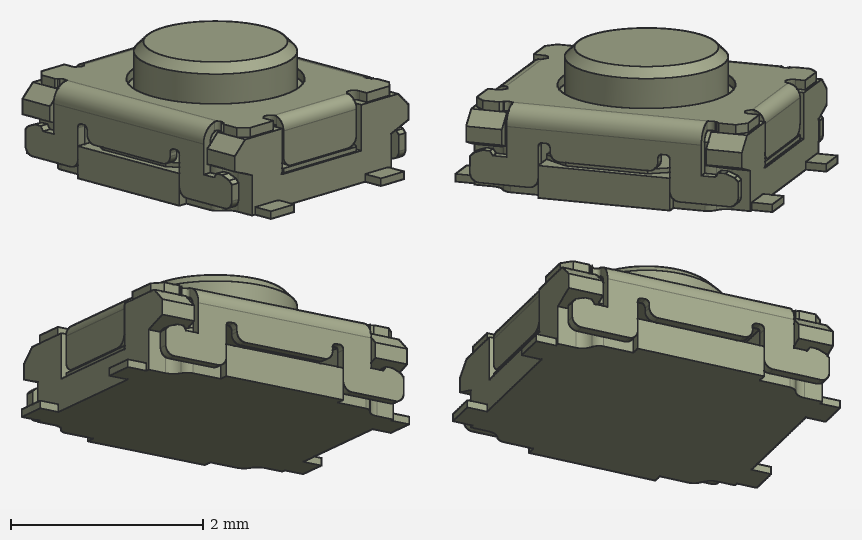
import cadquery as cq


base_length = 3.045
base_width = 2.62
base_top = 0.847
half_length = base_length / 2
half_width = base_width / 2

shoulder_slope_width = 0.158
shoulder_slope_height = 0.147
shoulder_tip = 0.532
shoulder_root = 0.438
lower_wall_y = 1.05
front_wall_y = 1.205
front_recess_half = 1.127
front_recess_chamfer = 0.1

step_start_x = 1.315
step_middle = (1.175, 1.135)
step_end_x = 1.075

hollow_floor = 0.35
hollow_roof = 0.6
hollow_half_x = 0.728
hollow_half_y = 0.6
pad_top = 0.4
pad_half_x = 1.498
pad_half_y = 1.225
pad_end_half = 0.55
pad_front_half = 0.45

end_wall_x = 1.302
end_recess_flare = 0.05
end_wall_rounding = 0.14

overall_length = 3.5
terminal_width = 0.35
terminal_thickness = 0.085
terminal_y = 0.83

button_diameter = 1.7
button_top = 1.35
button_chamfer = 0.1

sheet = 0.1
cover_top = base_top + sheet
plate_half_x = 1.498
plate_half_y = 1.15
plate_corner_chamfer = 0.1
button_hole_diameter = 1.85

flap_half = 1.075
flap_bend = 0.205
flap_relief_width = 0.098
flap_relief_end_y = 1.1
flap_relief_mouth = 0.04

tab_half = 0.55
tab_bend = 0.14
tab_relief_width = 0.155
tab_relief_end_x = 1.312
tab_bottom = 0.41
tab_corner_radius = 0.12
corner_radius = 0.1

tongue_half = 0.595
tongue_bottom = tab_bottom
slot_top = hollow_roof
slot_radius = 0.05
leg_inner_x = hollow_half_x
leg_notch_z = tongue_bottom
foot_bottom = 0.105
foot_outer_x = 1.48
foot_crest = 0.46
foot_crest_outer_x = 1.34
foot_crest_inner_x = 1.26
foot_crest_foot_x = 1.225
foot_chamfer = 0.04


def block(x_size, y_size, z_low, z_high):
    """Box centred on the Z axis, between two heights."""
    return cq.Workplane("XY").workplane(offset=z_low).rect(x_size, y_size).extrude(z_high - z_low)


def both_ends(shape):
    """The shape together with its copy turned half a turn about Z."""
    return shape.union(shape.rotate((0, 0, 0), (0, 0, 1), 180))


def base_shoulder():
    """Upper block with sloped edges and an undercut, recessed behind the cover flaps."""
    shoulder = (
        cq.Workplane("YZ", origin=(-half_length, 0, 0))
        .moveTo(0, shoulder_root)
        .lineTo(lower_wall_y, shoulder_root)
        .lineTo(half_width, shoulder_tip)
        .lineTo(half_width, base_top - shoulder_slope_height)
        .lineTo(half_width - shoulder_slope_width, base_top)
        .lineTo(0, base_top)
        .close()
        .extrude(base_length)
    )
    recess = (
        cq.Workplane("YZ", origin=(-front_recess_half, 0, 0))
        .moveTo(front_wall_y, 0)
        .lineTo(front_wall_y, base_top - front_recess_chamfer)
        .lineTo(front_wall_y - front_recess_chamfer, base_top)
        .lineTo(half_width, base_top)
        .lineTo(half_width, 0)
        .close()
        .extrude(2 * front_recess_half)
    )
    return both_ends(shoulder.cut(recess))


def base_lower_wall():
    """Lower block, with an S-shaped step on each side of every long wall."""
    quarter = (
        cq.Workplane("XY")
        .lineTo(half_length, 0)
        .lineTo(half_length, lower_wall_y)
        .lineTo(step_start_x, lower_wall_y)
        .tangentArcPoint(step_middle, relative=False)
        .tangentArcPoint((step_end_x, front_wall_y), relative=False)
        .lineTo(0, front_wall_y)
        .close()
        .extrude(shoulder_tip)
    )
    return both_ends(quarter.union(quarter.mirror("YZ")))


def floor_pad():
    """Low octagonal pad on the floor of the hollow."""
    half_pad = (
        cq.Workplane("XY")
        .workplane(offset=hollow_floor)
        .lineTo(pad_half_x, 0)
        .lineTo(pad_half_x, pad_end_half)
        .lineTo(pad_front_half, pad_half_y)
        .lineTo(-pad_front_half, pad_half_y)
        .lineTo(-pad_half_x, pad_end_half)
        .lineTo(-pad_half_x, 0)
        .close()
        .extrude(pad_top - hollow_floor)
    )
    return both_ends(half_pad)


def base_hollow():
    """Crossing channels under the button."""
    along_x = block(base_length, 2 * hollow_half_y, hollow_floor, hollow_roof)
    along_y = block(2 * hollow_half_x, base_width, hollow_floor, hollow_roof)
    return along_x.union(along_y)


def end_recess():
    """Recess for the side tab: flared inner corners, rounded into the hollow's roof."""
    flare_x = end_wall_x + end_recess_flare
    flared_half = hollow_half_y + end_recess_flare
    outline = [
        (-half_length, hollow_half_y),
        (-flare_x, hollow_half_y),
        (-end_wall_x, flared_half),
        (-end_wall_x, -flared_half),
        (-flare_x, -hollow_half_y),
        (-half_length, -hollow_half_y),
    ]
    recess = (
        cq.Workplane("XY")
        .workplane(offset=hollow_floor)
        .polyline(outline)
        .close()
        .extrude(base_top - hollow_floor)
    )
    corner = cq.Workplane("XY").box(
        end_wall_rounding, 2 * hollow_half_y, end_wall_rounding, centered=(False, True, False)
    )
    roll = (
        cq.Workplane("XZ", origin=(end_wall_rounding, hollow_half_y, end_wall_rounding))
        .circle(end_wall_rounding)
        .extrude(2 * hollow_half_y)
    )
    rounding = corner.cut(roll).translate((-end_wall_x, 0, hollow_roof))
    return recess.union(rounding)


def terminals():
    """Four flat solder tails, two at each end."""
    tail_length = (overall_length - base_length) / 2
    return (
        cq.Workplane("XY")
        .rarray(base_length + tail_length, 2 * terminal_y, 2, 2)
        .rect(tail_length, terminal_width)
        .extrude(terminal_thickness)
    )


def button():
    """Round push button with a bevelled rim."""
    return (
        cq.Workplane("XY")
        .workplane(offset=base_top)
        .circle(button_diameter / 2)
        .extrude(button_top - base_top)
        .faces(">Z")
        .chamfer(button_chamfer)
    )


def make_base():
    centre_walls = block(2 * leg_inner_x, base_width, 0, hollow_floor)
    base = base_shoulder().union(base_lower_wall()).union(centre_walls)
    base = base.cut(base_hollow()).cut(both_ends(end_recess())).union(floor_pad())
    return base.union(terminals()).union(button())


def fold(outer_radius, half_width, edge_y):
    """Quarter tube along X that turns the plate's front edge, at -edge_y, downward."""
    axis_z = cover_top - outer_radius
    tube = (
        cq.Workplane("YZ", origin=(-half_width, -edge_y, axis_z))
        .circle(outer_radius)
        .circle(outer_radius - sheet)
        .extrude(2 * half_width)
    )
    quadrant = cq.Workplane("XY").box(
        2 * half_width, outer_radius, outer_radius, centered=(True, False, False)
    )
    return tube.intersect(quadrant.translate((0, -edge_y - outer_radius, axis_z)))


def relief_slot(width, length):
    """Slot cutter through the plate, along +X from a rounded end that touches the Z axis."""
    radius = width / 2
    return (
        cq.Workplane("XY")
        .workplane(offset=base_top)
        .moveTo(length, -radius)
        .lineTo(radius, -radius)
        .threePointArc((0, 0), (radius, radius))
        .lineTo(length, radius)
        .close()
        .extrude(sheet)
    )


def flap_opening():
    """Cutter along the plate's -Y edge: the folded stretch and a relief slot at each end."""
    fold_y = half_width - flap_bend
    depth = plate_half_y - fold_y
    opening = block(2 * flap_half, depth, base_top, cover_top).translate((0, -fold_y - depth / 2, 0))
    slot_length = plate_half_y - flap_relief_end_y
    slot = relief_slot(flap_relief_width, slot_length).rotate((0, 0, 0), (0, 0, 1), -90)
    mouth_x = flap_half + flap_relief_width
    mouth = (
        cq.Workplane("XY")
        .workplane(offset=base_top)
        .moveTo(mouth_x, -plate_half_y)
        .lineTo(mouth_x + flap_relief_mouth, -plate_half_y)
        .lineTo(mouth_x, -plate_half_y + flap_relief_mouth)
        .close()
        .extrude(sheet)
    )
    slot = slot.translate((flap_half + flap_relief_width / 2, -flap_relief_end_y, 0)).union(mouth)
    return opening.union(slot).union(slot.mirror("YZ"))


def tab_opening():
    """Cutter along the plate's +X edge: the folded stretch and a relief slot at each end."""
    depth = tab_bend
    opening = block(depth, 2 * tab_half, base_top, cover_top).translate((plate_half_x - depth / 2, 0, 0))
    slot_y = tab_half + tab_relief_width / 2
    for side in (-1, 1):
        slot = relief_slot(tab_relief_width, plate_half_x - tab_relief_end_x)
        opening = opening.union(slot.translate((tab_relief_end_x, side * slot_y, 0)))
    return opening


def cover_plate():
    """Top plate with the button hole, cut open where the flaps and tabs fold down."""
    plate = (
        block(2 * plate_half_x, 2 * plate_half_y, base_top, cover_top)
        .edges("|Z")
        .chamfer(plate_corner_chamfer)
        .faces(">Z")
        .workplane()
        .hole(button_hole_diameter)
    )
    return plate.cut(both_ends(flap_opening())).cut(both_ends(tab_opening()))


def front_flap():
    """Flap folded down at -Y: a central tongue between two legs whose feet hook outward."""
    fold_z = cover_top - flap_bend
    half_sheet = (
        cq.Workplane("XZ", origin=(0, -half_width + sheet, 0))
        .moveTo(0, fold_z)
        .lineTo(flap_half, fold_z)
        .lineTo(flap_half, leg_notch_z)
        .lineTo(foot_crest_foot_x, leg_notch_z)
        .lineTo(foot_crest_inner_x, foot_crest)
        .lineTo(foot_crest_outer_x, foot_crest)
        .lineTo(foot_outer_x - foot_chamfer, foot_crest - foot_chamfer)
        .lineTo(foot_outer_x, foot_crest - 2 * foot_chamfer)
        .lineTo(foot_outer_x, foot_bottom + corner_radius)
        .tangentArcPoint((-corner_radius, -corner_radius))
        .lineTo(leg_inner_x + corner_radius, foot_bottom)
        .tangentArcPoint((-corner_radius, corner_radius))
        .lineTo(leg_inner_x, slot_top - slot_radius)
        .tangentArcPoint((-slot_radius, slot_radius))
        .lineTo(tongue_half + slot_radius, slot_top)
        .tangentArcPoint((-slot_radius, -slot_radius))
        .lineTo(tongue_half, tongue_bottom + corner_radius)
        .tangentArcPoint((-corner_radius, -corner_radius))
        .lineTo(0, tongue_bottom)
        .close()
        .extrude(sheet)
    )
    bend = fold(flap_bend, flap_half, half_width - flap_bend)
    return half_sheet.union(half_sheet.mirror("YZ")).union(bend)


def side_tab():
    """Plain tab folded down at +X, with rounded lower corners."""
    fold_z = cover_top - tab_bend
    height = fold_z - tab_bottom
    flat = (
        cq.Workplane("XY")
        .box(2 * tab_half, sheet, height, centered=(True, False, False))
        .edges("|Y and <Z")
        .fillet(tab_corner_radius)
        .translate((0, -plate_half_x, tab_bottom))
    )
    bend = fold(tab_bend, tab_half, plate_half_x - tab_bend)
    return flat.union(bend).rotate((0, 0, 0), (0, 0, 1), 90)


def make_cover():
    return cover_plate().union(both_ends(front_flap())).union(both_ends(side_tab()))


base = make_base()
cover = make_cover()
result = cq.Compound.makeCompound([base.solids().val(), cover.solids().val()])